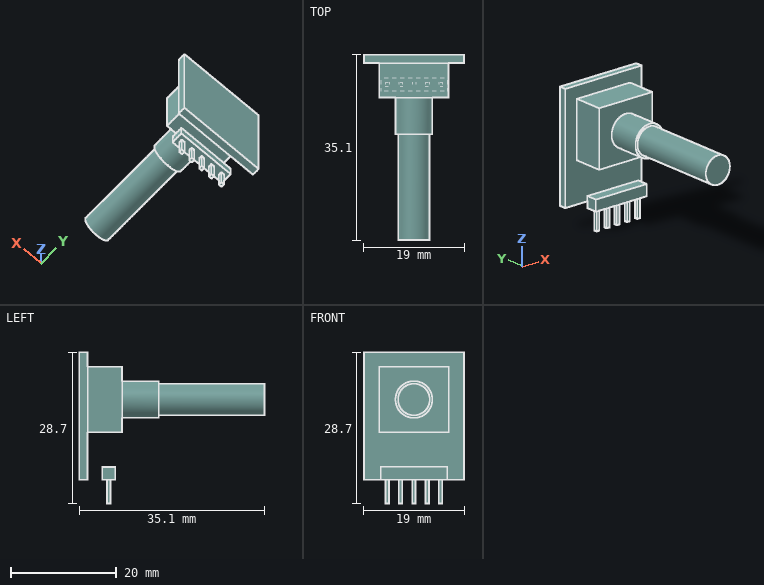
import cadquery as cq

board_width = 19.0
board_height = 24.22
board_thickness = 1.6

housing_width = 13.2
housing_height = 12.5
housing_depth = 6.5
axis_below_board_top = 9.0
axis_z = board_height - axis_below_board_top
bushing_diameter = 7.0
bushing_length = 7.0

overall_length = 35.1
shaft_diameter = 6.0
bushing_end_y = -(housing_depth + bushing_length)
shaft_length = overall_length - board_thickness - housing_depth - bushing_length

pin_count = 5
pin_pitch = 2.53
pin_width = 0.7
pin_length = 4.5
header_size = 2.5
header_width = pin_count * pin_pitch
header_gap = 2.75
header_y = -(header_gap + header_size / 2)


def make_board():
    return cq.Workplane("XY").box(
        board_width, board_thickness, board_height, centered=(True, False, False)
    )


def make_cylinder(diameter, length, start_y):
    """Cylinder on the shaft axis, running from start_y toward -Y."""
    return (
        cq.Workplane("XZ", origin=(0, start_y, axis_z))
        .circle(diameter / 2)
        .extrude(length)
    )


def make_housing():
    block = (
        cq.Workplane("XZ", origin=(0, 0, axis_z))
        .rect(housing_width, housing_height)
        .extrude(housing_depth)
    )
    bushing = make_cylinder(bushing_diameter, bushing_length, -housing_depth)
    return block.union(bushing)


def make_shaft():
    return make_cylinder(shaft_diameter, shaft_length, bushing_end_y)


def make_header():
    return (
        cq.Workplane("XY", origin=(0, header_y, 0))
        .rect(header_width, header_size)
        .extrude(header_size)
    )


def make_pin(x):
    """Square pin hanging from the underside of the header."""
    return (
        cq.Workplane("XY", origin=(x, header_y, 0))
        .rect(pin_width, pin_width)
        .extrude(-pin_length)
    )


board = make_board()
housing = make_housing()
shaft = make_shaft()
header = make_header()

first_pin_x = -(pin_count - 1) * pin_pitch / 2
pins = []
for index in range(pin_count):
    pins.append(make_pin(first_pin_x + index * pin_pitch))

result = cq.Compound.makeCompound(
    [board.val(), housing.val(), shaft.val(), header.val(), *[pin.val() for pin in pins]]
)